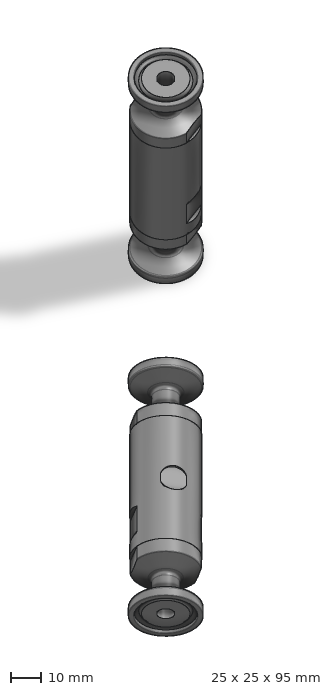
import cadquery as cq
import math

total_length = 95.0
housing_length = 49.0
body_diameter = 24.0
bore_diameter = 6.0
flat_width = 22.0

middle_z = total_length / 2
housing_bottom_z = middle_z - housing_length / 2
connector_length = (total_length - housing_length) / 2
body_radius = body_diameter / 2
bore_radius = bore_diameter / 2
flat_offset = flat_width / 2
flat_depth = body_radius - flat_offset

collar_height = 5.1
collar_edge_radius = 0.3
shoulder_angle = 25.0
neck_radius = 4.75
neck_fillet_radius = 2.0

flange_diameter = 25.0
flange_radius = flange_diameter / 2
flange_edge_height = 3.6
flange_angle = 20.0
flange_fillet_radius = 0.9
rim_edge_radius = 0.2

face_recess = 0.9
face_radius = 8.1
groove_inner_radius = 9.0
groove_outer_diameter = 21.0
groove_outer_radius = groove_outer_diameter / 2
groove_depth = 2.1
groove_wall_depth = 1.3

wrench_center_z = 34.0
wrench_flat_height = 10.0
spotface_diameter = 9.5
spotface_depth = 0.9

radius_tolerance = 0.001


def rise(radial_distance, angle):
    """Height gained along a cone over a radial distance."""
    return radial_distance * math.tan(math.radians(angle))


def round_circles(solid, radius, fillet_radius, low_z, high_z):
    """Fillet the circular edges of one radius between two heights."""
    edges = solid.edges("%CIRCLE").filter(
        lambda edge: abs(edge.radius() - radius) < radius_tolerance and low_z < edge.Center().z < high_z
    )
    return solid.newObject(edges.vals()).fillet(fillet_radius)


def make_connector():
    """Connector with its joint at z = 0 and its clamp flange at the top."""
    top_z = connector_length
    neck_bottom_z = collar_height + rise(body_radius - neck_radius, shoulder_angle)
    flange_edge_z = top_z - flange_edge_height
    neck_top_z = flange_edge_z - rise(flange_radius - neck_radius, flange_angle)
    groove_z = top_z - groove_depth

    arc_start_z = top_z - groove_wall_depth
    arc_width = groove_outer_radius - groove_inner_radius
    arc_height = arc_start_z - groove_z
    arc_radius = (arc_width**2 + arc_height**2) / (2 * arc_height)

    connector = (
        cq.Workplane("XZ")
        .moveTo(bore_radius, 0)
        .lineTo(body_radius, 0)
        .lineTo(body_radius, collar_height)
        .lineTo(neck_radius, neck_bottom_z)
        .lineTo(neck_radius, neck_top_z)
        .lineTo(flange_radius, flange_edge_z)
        .lineTo(flange_radius, top_z)
        .lineTo(groove_outer_radius, top_z)
        .lineTo(groove_outer_radius, arc_start_z)
        .radiusArc((groove_inner_radius, groove_z), arc_radius)
        .lineTo(face_radius, top_z - face_recess)
        .lineTo(bore_radius, top_z - face_recess)
        .close()
        .revolve(360, (0, 0, 0), (0, 1, 0))
    )
    connector = round_circles(connector, neck_radius, neck_fillet_radius, 0, top_z)
    connector = round_circles(connector, flange_radius, flange_fillet_radius, neck_top_z, groove_z)
    connector = round_circles(connector, body_radius, collar_edge_radius, 0, neck_bottom_z)

    for radius in (flange_radius, groove_outer_radius):
        connector = round_circles(connector, radius, rim_edge_radius, arc_start_z, total_length)

    for side in (-1, 1):
        cutter = cq.Workplane("XY").box(
            flat_depth, body_diameter, neck_bottom_z, centered=(True, True, False)
        )
        connector = connector.cut(cutter.translate((side * (flat_offset + flat_depth / 2), 0, 0)))
    return connector


def make_wrench_cutter():
    """Trapezoid prism for the +X flat; its end walls slope outward at 45 degrees."""
    half_height = wrench_flat_height / 2
    mouth_half_height = half_height + flat_depth
    return (
        cq.Workplane("XZ")
        .moveTo(flat_offset, wrench_center_z - half_height)
        .lineTo(body_radius, wrench_center_z - mouth_half_height)
        .lineTo(body_radius, wrench_center_z + mouth_half_height)
        .lineTo(flat_offset, wrench_center_z + half_height)
        .close()
        .extrude(body_radius, both=True)
    )


def make_housing():
    """Tube with two wrench recesses and a round spotface on its +Y side."""
    housing = (
        cq.Workplane("XY", origin=(0, 0, housing_bottom_z))
        .circle(body_radius)
        .circle(bore_radius)
        .extrude(housing_length)
    )
    wrench_cutter = make_wrench_cutter()
    housing = housing.cut(wrench_cutter).cut(wrench_cutter.mirror("YZ"))

    spotface = (
        cq.Workplane("XZ", origin=(0, body_radius, middle_z))
        .circle(spotface_diameter / 2)
        .extrude(spotface_depth)
    )
    return housing.cut(spotface)


housing = make_housing()

connectors = []
for turn in (0, 180):
    connector = make_connector().translate((0, 0, middle_z + housing_length / 2))
    connectors.append(connector.rotate((0, 0, middle_z), (1, 0, middle_z), turn))

result = cq.Compound.makeCompound([housing.val(), *[connector.val() for connector in connectors]])